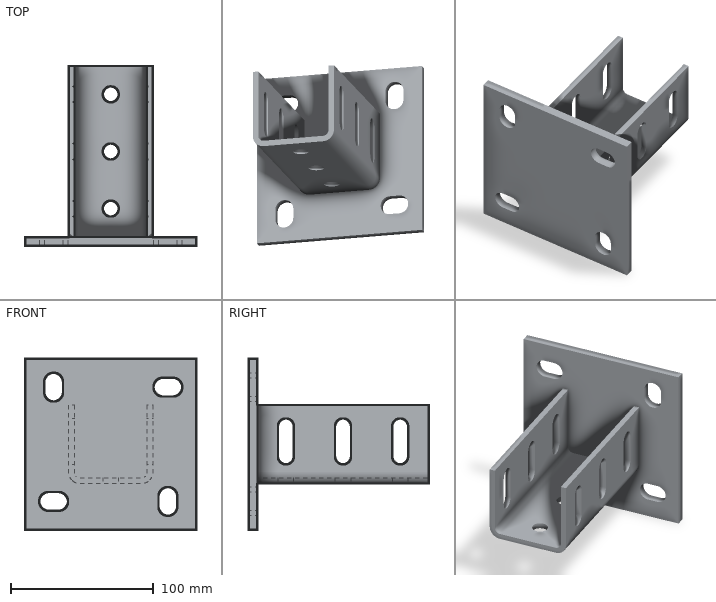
import cadquery as cq

plate_size = 120.0
plate_thickness = 6.0
plate_slot_length = 20.0
plate_slot_width = 13.0
plate_slot_pitch = 80.0

channel_length = 120.0
channel_width = 59.0
channel_height = 55.0
wall = 4.0
bend_inner_radius = 4.0
bend_outer_radius = bend_inner_radius + wall
channel_top = channel_height / 2
channel_bottom = channel_top - channel_height

hole_count = 3
hole_pitch = 40.0
hole_diameter = 11.0
side_slot_length = 32.0
side_slot_center_z = 2.0
channel_middle_y = plate_thickness + channel_length / 2
hole_positions_y = [
    channel_middle_y + (i - (hole_count - 1) / 2) * hole_pitch for i in range(hole_count)
]


def make_plate():
    """Square plate with four corner slots, alternately upright and level."""
    plate = cq.Workplane("XY").box(
        plate_size, plate_thickness, plate_size, centered=(True, False, True)
    )
    offset = plate_slot_pitch / 2
    for side_x in (-1, 1):
        for side_z in (-1, 1):
            angle = 0 if side_x == side_z else 90
            slot = (
                cq.Workplane("XZ")
                .center(side_x * offset, side_z * offset)
                .slot2D(plate_slot_length, plate_slot_width, angle)
                .extrude(-plate_thickness)
            )
            plate = plate.cut(slot)
    return plate


def trough(width, bottom, bend_radius):
    """Solid block along the channel with its two lower edges rounded."""
    return (
        cq.Workplane("XY")
        .box(width, channel_length, channel_top - bottom, centered=(True, False, False))
        .translate((0, plate_thickness, bottom))
        .edges("|Y and <Z")
        .fillet(bend_radius)
    )


def make_channel():
    """Bent U channel with round holes in its floor and upright slots in both sides."""
    outside = trough(channel_width, channel_bottom, bend_outer_radius)
    inside = trough(channel_width - 2 * wall, channel_bottom + wall, bend_inner_radius)
    channel = outside.cut(inside)
    for y in hole_positions_y:
        floor_hole = (
            cq.Workplane("XY", origin=(0, y, channel_bottom))
            .circle(hole_diameter / 2)
            .extrude(wall)
        )
        side_slots = (
            cq.Workplane("YZ", origin=(0, y, side_slot_center_z))
            .slot2D(side_slot_length, hole_diameter, 90)
            .extrude(channel_width / 2, both=True)
        )
        channel = channel.cut(floor_hole).cut(side_slots)
    return channel


plate = make_plate()
channel = make_channel()

result = cq.Compound.makeCompound([plate.solids().val(), channel.solids().val()])